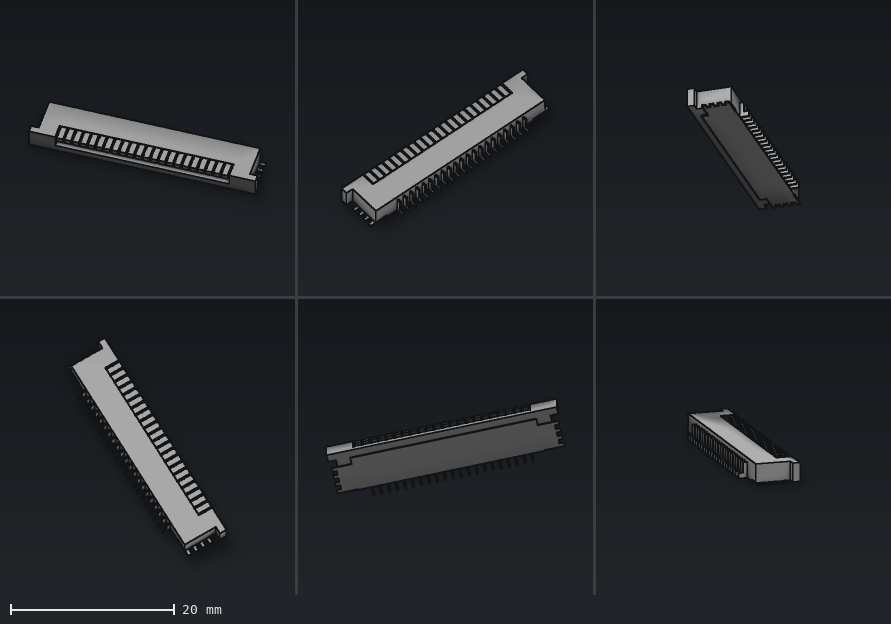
import cadquery as cq


length = 28.92
height = 2.57
contact_width = 0.2
gap_row_length = 22.0
finger_gaps = 23
pitch = gap_row_length / (finger_gaps - 1)
contact_count = 21

body_width = 26.95
body_rear = 5.4
ear_depth = 0.95
standoff = 0.17

finger_length = 1.95
finger_drop = 0.1
finger_bottom = height - 0.7
opening_floor = height - 1.53
opening_depth = ear_depth
opening_width = gap_row_length + contact_width

upright_rear = 5.93
upright_top = 2.0
foot_rear = 6.55
foot_height = 0.7

plate_width = 23.37
tab_front = 1.82
tab_root_x = 13.7
tab_tip_x = 14.25
tooth_count = 4
tooth_width = pitch / 2


def block(x0, x1, y0, y1, z0, z1):
    """Box given by its limits along each axis."""
    return cq.Workplane("XY").box(x1 - x0, y1 - y0, z1 - z0, centered=False).translate((x0, y0, z0))


def centred_block(width, y0, y1, z0, z1, x=0):
    """Box centred on x, given by its width and its Y and Z limits."""
    return block(x - width / 2, x + width / 2, y0, y1, z0, z1)


def row_positions(count):
    """X positions of a row at the contact pitch, centred on the part."""
    return [(i - (count - 1) / 2) * pitch for i in range(count)]


def housing():
    body = centred_block(body_width, 0, body_rear, standoff, height)
    ears = centred_block(length, 0, ear_depth, standoff, height)
    body = body.union(ears)

    body = body.cut(centred_block(opening_width, 0, finger_length, height - finger_drop, height))
    body = body.cut(centred_block(opening_width, 0, opening_depth, opening_floor, finger_bottom))
    for x in row_positions(finger_gaps):
        body = body.cut(centred_block(contact_width, 0, finger_length, finger_bottom, height, x))
    return body


def rear_contact(x):
    """L-shaped contact tail: an upright against the housing and a foot on the board."""
    upright = centred_block(contact_width, body_rear, upright_rear, 0, upright_top, x)
    foot = centred_block(contact_width, body_rear, foot_rear, 0, foot_height, x)
    return upright.union(foot)


def solder_tab():
    """Toothed tab on the +X side, running inward to the base plate."""
    tab_rear = tab_front + (tooth_count - 1) * pitch + tooth_width
    tab = block(plate_width / 2, tab_root_x, tab_front, tab_rear, 0, standoff)
    for i in range(tooth_count):
        y = tab_front + i * pitch
        tab = tab.union(block(tab_root_x, tab_tip_x, y, y + tooth_width, 0, standoff))
    return tab


base_plate = centred_block(plate_width, ear_depth, body_rear, 0, standoff)
right_tab = solder_tab()
left_tab = right_tab.mirror("YZ")

result = housing().union(base_plate).union(right_tab).union(left_tab)
for contact_x in row_positions(contact_count):
    result = result.union(rear_contact(contact_x))